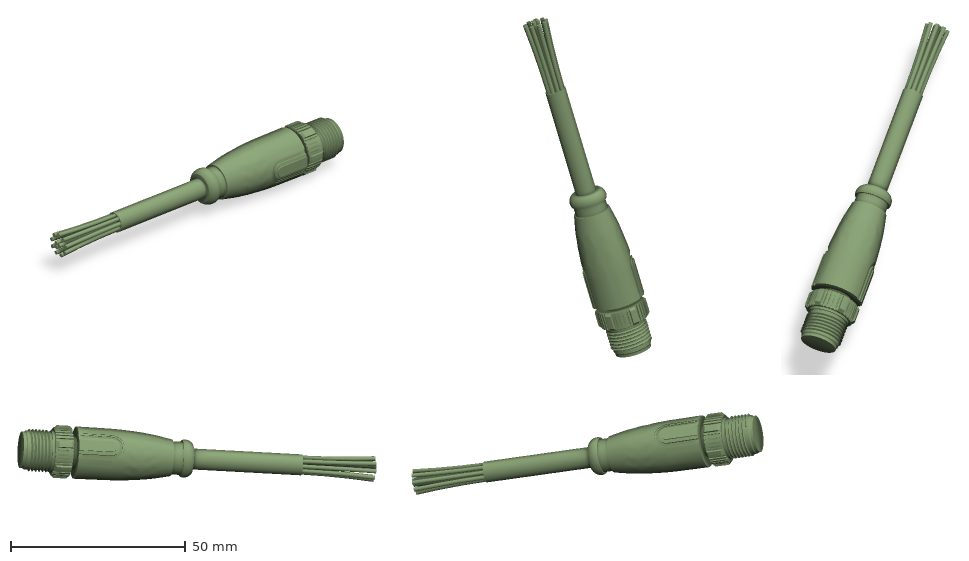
import cadquery as cq
import math

total_length = 103.5

lead_in_radius = 5.3
lead_in_end = 0.8
thread_root_radius = 5.6
thread_crest_radius = 6.1
thread_pitch = 1.0
thread_start = 1.9
thread_turns = 6
thread_base_width = 0.8
thread_embed = 0.2
collar_radius = 6.0
collar_start = 8.4

nut_start = 9.1
nut_end = 14.3
nut_radius = 6.9
across_lugs = 15.2
lug_radius = across_lugs / 2
lug_width = 1.9
lug_count = 6
front_bevel = 0.8
rear_bevel = 0.5
knurl_depth = 0.4
knurl_width = 0.5
knurl_pitch = 10.0
grooves_per_gap = 4

neck_radius = 4.6
grip_start = 15.7
grip_diameter = 15.0
grip_radius = grip_diameter / 2
grip_end = 43.8
grip_end_radius = 5.3
waist_radius = 4.8
bead_start = 46.7
bead_end = 49.8
bead_front_radius = 5.3
bead_middle_radius = 5.4
bead_rear_radius = 4.3

panel_arc_station = 25.2
ledge_half_width = 3.8
ledge_depth = 0.2
groove_outer_half_width = 3.3
groove_inner_half_width = 2.5
panel_groove_depth = 0.4
pad_half_width = 1.6
across_pads = 15.2
pad_height = across_pads / 2
pad_root = 6.2

cable_radius = 3.0
jacket_end = 81.8
wire_radius = 0.6
wire_root = 80.7
outer_wire_count = 9
inner_wire_count = 3
outer_ring_radius = 2.2
inner_ring_radius = 0.78
inner_ring_angle = 10.0
outer_wire_end = 103.0
flare_offset = 0.98


def turned(outline):
    """Revolve (radius, station) points joined by straight lines around the Y axis."""
    points = [(radius, -station) for radius, station in outline]
    return cq.Workplane("XY").polyline(points).close().revolve(360, (0, 0, 0), (0, 1, 0))


def rod(radius, start, end):
    """Solid cylinder on the Y axis between two stations."""
    return cq.Workplane("XZ", origin=(0, -start, 0)).circle(radius).extrude(end - start)


def threaded_sleeve():
    core = turned([
        (0, 0),
        (lead_in_radius, 0),
        (lead_in_radius, lead_in_end),
        (thread_root_radius, lead_in_end + thread_root_radius - lead_in_radius),
        (thread_root_radius, collar_start),
        (collar_radius, collar_start),
        (collar_radius, nut_start),
        (0, nut_start),
    ])
    foot_radius = thread_root_radius - thread_embed
    helix = cq.Wire.makeHelix(thread_pitch, thread_pitch * thread_turns, foot_radius)
    ridge = (
        cq.Workplane("XZ")
        .polyline([
            (foot_radius, -thread_base_width / 2),
            (thread_crest_radius, 0),
            (foot_radius, thread_base_width / 2),
        ])
        .close()
        .sweep(cq.Workplane(helix), isFrenet=True)
        .rotate((0, 0, 0), (1, 0, 0), 90)
        .translate((0, -thread_start, 0))
    )
    return core.union(ridge)


def knurled_nut():
    nut = rod(nut_radius, nut_start, nut_end)
    nut_length = nut_end - nut_start
    lug_pitch = 360 / lug_count
    lug = (
        cq.Workplane("XZ", origin=(0, -nut_start, 0))
        .center(lug_radius / 2, 0)
        .rect(lug_radius, lug_width)
        .extrude(nut_length)
    )
    groove = (
        cq.Workplane("XZ", origin=(0, -nut_start, 0))
        .center(nut_radius, 0)
        .rect(2 * knurl_depth, knurl_width)
        .extrude(nut_length)
    )
    for lug_index in range(lug_count):
        lug_angle = lug_index * lug_pitch
        nut = nut.union(lug.rotate((0, 0, 0), (0, 1, 0), lug_angle))
        for groove_index in range(grooves_per_gap):
            from_gap_middle = (groove_index - (grooves_per_gap - 1) / 2) * knurl_pitch
            groove_angle = lug_angle + lug_pitch / 2 + from_gap_middle
            nut = nut.cut(groove.rotate((0, 0, 0), (0, 1, 0), groove_angle))
    envelope = (
        rod(lug_radius, nut_start, nut_end)
        .faces(">Y").chamfer(front_bevel)
        .faces("<Y").chamfer(rear_bevel)
    )
    return nut.intersect(envelope)


def grip_body(inset):
    """Barrel of the grip, with its whole side moved inward by the inset."""
    front_radius = grip_radius - inset
    rear_radius = grip_end_radius - inset
    third = (grip_end - grip_start) / 3
    return (
        cq.Workplane("XY")
        .moveTo(0, -grip_start)
        .lineTo(front_radius, -grip_start)
        .bezier(
            [
                (front_radius, -grip_start - third),
                (front_radius, -grip_end + third),
                (rear_radius, -grip_end),
            ],
            includeCurrent=True,
        )
        .lineTo(0, -grip_end)
        .close()
        .revolve(360, (0, 0, 0), (0, 1, 0))
        .rotate((0, 0, 0), (0, 1, 0), 90)
    )


def panel_prism(half_width, near, far):
    """U-shaped prism open at the grip's front face, spanning X from near to far."""
    straight_length = panel_arc_station - grip_start
    strip = (
        cq.Workplane("YZ", origin=(near, -(grip_start + panel_arc_station) / 2, 0))
        .rect(straight_length, 2 * half_width)
        .extrude(far - near)
    )
    rounded_end = (
        cq.Workplane("YZ", origin=(near, -panel_arc_station, 0))
        .circle(half_width)
        .extrude(far - near)
    )
    return strip.union(rounded_end)


def panel_groove(outer_half_width, depth):
    """U-shaped band of the grip's skin, of even depth below the surface."""
    skin = grip_body(0).cut(grip_body(depth))
    return (
        panel_prism(outer_half_width, 0, pad_height)
        .cut(panel_prism(groove_inner_half_width, 0, pad_height))
        .intersect(skin)
    )


def grip():
    ledge = panel_groove(ledge_half_width, ledge_depth)
    groove = panel_groove(groove_outer_half_width, panel_groove_depth)
    pad = panel_prism(pad_half_width, pad_root, pad_height)
    body = grip_body(0)
    for side_angle in (0, 180):
        for recess in (ledge, groove):
            body = body.cut(recess.rotate((0, 0, 0), (0, 1, 0), side_angle))
        body = body.union(pad.rotate((0, 0, 0), (0, 1, 0), side_angle))
    return body


def strain_relief():
    bead = (
        cq.Workplane("XY")
        .moveTo(0, -bead_start)
        .lineTo(bead_front_radius, -bead_start)
        .threePointArc(
            (bead_middle_radius, -(bead_start + bead_end) / 2),
            (bead_rear_radius, -bead_end),
        )
        .lineTo(0, -bead_end)
        .close()
        .revolve(360, (0, 0, 0), (0, 1, 0))
    )
    return rod(waist_radius, grip_end, bead_start).union(bead)


def outer_wire(angle):
    """Wire that starts parallel to the axis and bends outward in a single arc."""
    run = outer_wire_end - wire_root
    bend_radius = (run**2 + flare_offset**2) / (2 * flare_offset)
    middle_offset = bend_radius - math.sqrt(bend_radius**2 - (run / 2) ** 2)
    path = (
        cq.Workplane("XY")
        .moveTo(outer_ring_radius, -wire_root)
        .threePointArc(
            (outer_ring_radius + middle_offset, -wire_root - run / 2),
            (outer_ring_radius + flare_offset, -outer_wire_end),
        )
    )
    return (
        cq.Workplane("XZ", origin=(0, -wire_root, 0))
        .center(outer_ring_radius, 0)
        .circle(wire_radius)
        .sweep(path)
        .rotate((0, 0, 0), (0, 1, 0), -angle)
    )


def inner_wire(angle):
    return (
        rod(wire_radius, wire_root, total_length)
        .translate((inner_ring_radius, 0, 0))
        .rotate((0, 0, 0), (0, 1, 0), -angle)
    )


result = (
    threaded_sleeve()
    .union(knurled_nut())
    .union(rod(neck_radius, nut_end, grip_start))
    .union(grip())
    .union(strain_relief())
    .union(rod(cable_radius, bead_end, jacket_end))
)
for index in range(outer_wire_count):
    result = result.union(outer_wire(90 + index * 360 / outer_wire_count))
for index in range(inner_wire_count):
    result = result.union(inner_wire(inner_ring_angle + index * 360 / inner_wire_count))